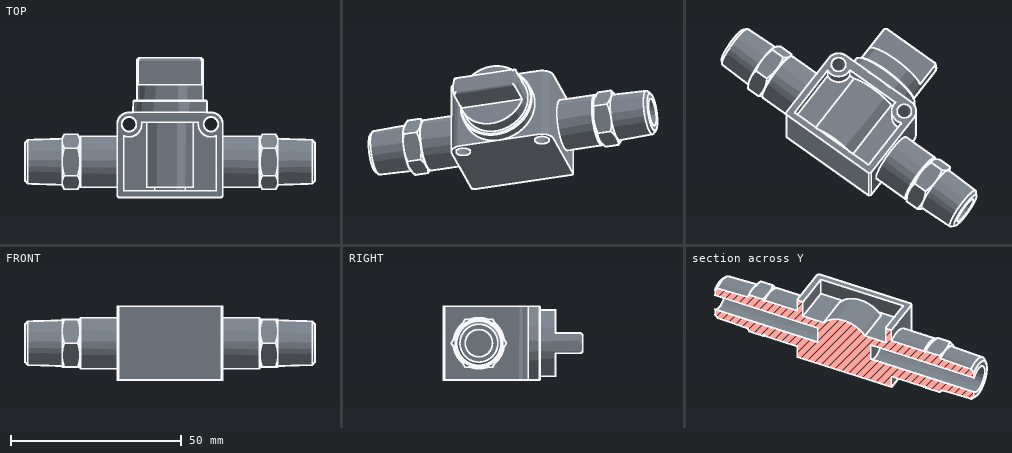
import cadquery as cq
import math

BODY_LENGTH = 31.0
BODY_HEIGHT = 21.7
BODY_FRONT = -10.5
BODY_BACK = 14.5
FRONT_EDGE_CHAMFER = 0.5
BACK_CORNER_RADIUS = 3.5

HOLE_DIAMETER = 4.2
HOLE_X = BODY_LENGTH / 2 - BACK_CORNER_RADIUS
HOLE_Y = BODY_BACK - BACK_CORNER_RADIUS
HOLE_BOSS_RADIUS = 3.7

POCKET_WALL = 2.0
POCKET_BACK_WALL = 2.9
POCKET_DEPTH = 5.35
POCKET_LENGTH = BODY_LENGTH - 2 * POCKET_WALL
POCKET_FRONT = BODY_FRONT + POCKET_WALL
POCKET_BACK = BODY_BACK - POCKET_BACK_WALL
POCKET_FLOOR = BODY_HEIGHT / 2 - POCKET_DEPTH

HOUSING_RADIUS = 8.75
HOUSING_FRONT = -7.5
HOUSING_NOSE_RADIUS = 7.1

COLLAR_DIAMETER = BODY_HEIGHT
COLLAR_BACK = 18.0
COLLAR_CHAMFER = 0.3
KNOB_DIAMETER = 19.5
KNOB_SHOULDER = 22.5
KNOB_BACK = 30.5
GRIP_THICKNESS = 6.0
GRIP_FILLET = 1.0

OVERALL_LENGTH = 85.0
TUBE_DIAMETER = 15.0
TUBE_END = 26.4
TUBE_CHAMFER = 0.3
HEX_END = 31.6
HEX_SIDES = 6
HEX_ACROSS_FLATS = 14.0
HEX_CHAMFER_ANGLE = 30.0
THREAD_TIP_DIAMETER = 12.95
THREAD_TAPER = 1 / 16
THREAD_CHAMFER_LENGTH = 0.9
THREAD_FACE_DIAMETER = 11.1
BORE_DIAMETER = 8.0


def cylinder_y(radius, start, end):
    """Cylinder on the Y axis between two Y positions."""
    return cq.Workplane("XZ", origin=(0, start, 0)).circle(radius).extrude(start - end)


def box_between(length, front, back, bottom, top):
    """Box centred on X that spans the given Y and Z ranges."""
    size = (length, back - front, top - bottom)
    center = (0, (front + back) / 2, (bottom + top) / 2)
    return cq.Workplane("XY").box(*size).translate(center)


def hole_cylinders(radius, bottom):
    """Vertical cylinders at both mounting holes, up to the top of the body."""
    return (
        cq.Workplane("XY", origin=(0, 0, bottom))
        .pushPoints([(-HOLE_X, HOLE_Y), (HOLE_X, HOLE_Y)])
        .circle(radius)
        .extrude(BODY_HEIGHT / 2 - bottom)
    )


def make_body_block():
    block = box_between(BODY_LENGTH, BODY_FRONT, BODY_BACK, -BODY_HEIGHT / 2, BODY_HEIGHT / 2)
    block = block.edges("|Z and >Y").fillet(BACK_CORNER_RADIUS)
    return block.edges("|Z and <Y").chamfer(FRONT_EDGE_CHAMFER)


def make_pocket():
    """Pocket volume, leaving the hole bosses and the stem housing standing."""
    pocket = box_between(POCKET_LENGTH, POCKET_FRONT, POCKET_BACK, POCKET_FLOOR, BODY_HEIGHT / 2)
    pocket = pocket.cut(hole_cylinders(HOLE_BOSS_RADIUS, POCKET_FLOOR))
    pocket = pocket.cut(cylinder_y(HOUSING_RADIUS, HOUSING_FRONT, POCKET_BACK))
    return pocket.cut(cylinder_y(HOUSING_NOSE_RADIUS, POCKET_FRONT, HOUSING_FRONT))


def make_knob():
    collar = cylinder_y(COLLAR_DIAMETER / 2, BODY_BACK, COLLAR_BACK)
    collar = collar.faces(">Y").edges().chamfer(COLLAR_CHAMFER)
    base = cylinder_y(KNOB_DIAMETER / 2, COLLAR_BACK, KNOB_SHOULDER)
    grip_slab = box_between(
        KNOB_DIAMETER, KNOB_SHOULDER, KNOB_BACK, -GRIP_THICKNESS / 2, GRIP_THICKNESS / 2
    )
    grip = cylinder_y(KNOB_DIAMETER / 2, KNOB_SHOULDER, KNOB_BACK).intersect(grip_slab)
    grip = grip.faces(">Y").edges().fillet(GRIP_FILLET)
    return collar.union(base).union(grip)


def revolve_x(points):
    """Solid of revolution about X from an outline of (x, radius) points."""
    return cq.Workplane("XY").polyline(points).close().revolve(360, (0, 0, 0), (1, 0, 0))


def make_hex_nut():
    """Hexagon with its corners bevelled at both ends, flats facing up and down."""
    face_radius = HEX_ACROSS_FLATS / 2
    corner_radius = face_radius / math.cos(math.pi / HEX_SIDES)
    bevel = (corner_radius - face_radius) * math.tan(math.radians(HEX_CHAMFER_ANGLE))
    prism = (
        cq.Workplane("YZ", origin=(TUBE_END, 0, 0))
        .polygon(HEX_SIDES, 2 * corner_radius)
        .extrude(HEX_END - TUBE_END)
    )
    envelope = revolve_x([
        (TUBE_END, 0),
        (TUBE_END, face_radius),
        (TUBE_END + bevel, corner_radius),
        (HEX_END - bevel, corner_radius),
        (HEX_END, face_radius),
        (HEX_END, 0),
    ])
    return prism.intersect(envelope)


def make_thread():
    """Tapered thread blank, thickest next to the hexagon."""
    face_x = OVERALL_LENGTH / 2
    tip_x = face_x - THREAD_CHAMFER_LENGTH
    root_diameter = THREAD_TIP_DIAMETER + THREAD_TAPER * (tip_x - HEX_END)
    return revolve_x([
        (HEX_END, 0),
        (HEX_END, root_diameter / 2),
        (tip_x, THREAD_TIP_DIAMETER / 2),
        (face_x, THREAD_FACE_DIAMETER / 2),
        (face_x, 0),
    ])


def make_fitting():
    """Fitting on the +X side: tube, hexagon and thread."""
    tube_start = BODY_LENGTH / 2
    tube = (
        cq.Workplane("YZ", origin=(tube_start, 0, 0))
        .circle(TUBE_DIAMETER / 2)
        .extrude(TUBE_END - tube_start)
        .faces(">X").edges().chamfer(TUBE_CHAMFER)
    )
    return tube.union(make_hex_nut()).union(make_thread())


def make_bore():
    """Flow bore on the +X side, ending at the side of the stem housing."""
    return (
        cq.Workplane("YZ", origin=(HOUSING_RADIUS, 0, 0))
        .circle(BORE_DIAMETER / 2)
        .extrude(OVERALL_LENGTH / 2 - HOUSING_RADIUS)
    )


result = make_body_block().cut(make_pocket()).union(make_knob())
result = result.cut(hole_cylinders(HOLE_DIAMETER / 2, -BODY_HEIGHT / 2))
fitting = make_fitting()
bore = make_bore()
result = result.union(fitting).union(fitting.mirror("YZ"))
result = result.cut(bore).cut(bore.mirror("YZ"))